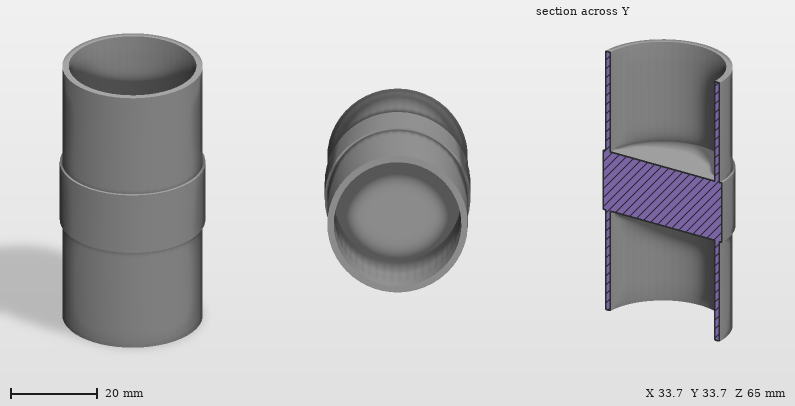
import cadquery as cq

sleeve_diameter = 32.5
collar_diameter = 33.7
bore_diameter = 29.5
sleeve_length = 25.0
collar_length = 15.0

total_length = 2 * sleeve_length + collar_length


def cylinder(diameter, bottom, length):
    """Solid cylinder along Z, starting at height bottom."""
    return cq.Workplane("XY").workplane(offset=bottom).circle(diameter / 2).extrude(length)


body = cylinder(sleeve_diameter, 0, total_length)
collar = cylinder(collar_diameter, sleeve_length, collar_length)

lower_bore = cylinder(bore_diameter, 0, sleeve_length)
upper_bore = cylinder(bore_diameter, sleeve_length + collar_length, sleeve_length)

result = body.union(collar).cut(lower_bore).cut(upper_bore)